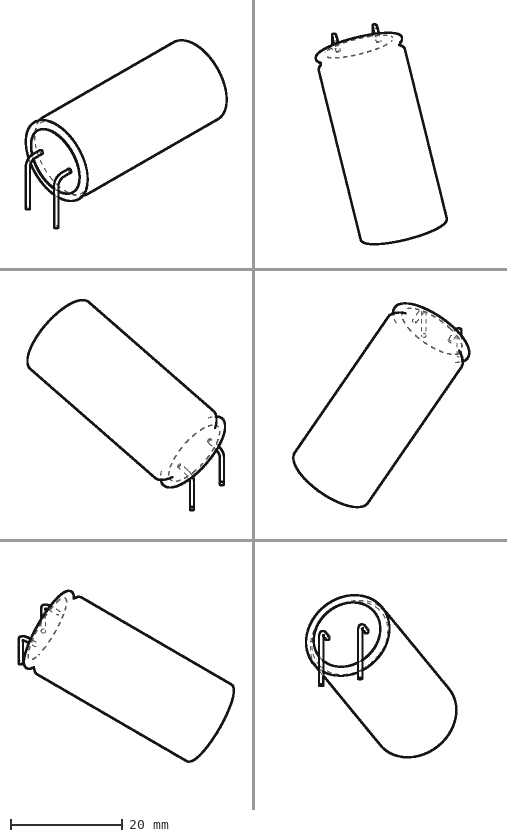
import cadquery as cq
import math

can_diameter = 16.0
can_length = 35.0
edge_radius = 0.4

groove_center = 1.5
groove_floor_diameter = 14.7
groove_half_width = groove_center - edge_radius

plug_diameter = 12.8
plug_recess = 0.1

lead_diameter = 0.8
lead_pitch = 7.5
lead_reach = 3.6
lead_drop = 11.1
lead_bend_radius = 1.6
lead_embedding = 0.5

can_radius = can_diameter / 2
end_face_radius = can_radius - edge_radius
diagonal = math.sqrt(0.5)


def make_can():
    """Revolve the half profile, drawn as (radius, Y), about the Y axis."""
    floor_radius = groove_floor_diameter / 2
    floor_offset = end_face_radius - floor_radius
    arc_radius = (groove_half_width**2 + floor_offset**2 - edge_radius**2) / (2 * (floor_offset + edge_radius))
    arc_center_radius = floor_radius + arc_radius
    slope = math.atan2(groove_half_width, arc_center_radius - end_face_radius)
    tangent_radius = end_face_radius + edge_radius * math.cos(slope)
    tangent_offset = groove_half_width - edge_radius * math.sin(slope)
    shoulder_mid_radius = end_face_radius + edge_radius * math.cos(slope / 2)
    shoulder_mid_offset = groove_half_width - edge_radius * math.sin(slope / 2)
    corner_mid_radius = end_face_radius + edge_radius * diagonal
    corner_mid_inset = edge_radius * (1 - diagonal)

    profile = (
        cq.Workplane("XY")
        .moveTo(0, 0)
        .lineTo(end_face_radius, 0)
        .threePointArc((corner_mid_radius, corner_mid_inset), (can_radius, edge_radius))
        .threePointArc(
            (shoulder_mid_radius, groove_center - shoulder_mid_offset),
            (tangent_radius, groove_center - tangent_offset),
        )
        .threePointArc((floor_radius, groove_center), (tangent_radius, groove_center + tangent_offset))
        .threePointArc(
            (shoulder_mid_radius, groove_center + shoulder_mid_offset),
            (can_radius, groove_center + groove_half_width),
        )
        .lineTo(can_radius, can_length - edge_radius)
        .threePointArc((corner_mid_radius, can_length - corner_mid_inset), (end_face_radius, can_length))
        .lineTo(0, can_length)
        .close()
    )
    return profile.revolve(360, (0, 0, 0), (0, 1, 0))


def make_plug_recess():
    """Shallow round pocket that leaves the plug face below the rim."""
    return cq.Workplane("XZ").circle(plug_diameter / 2).extrude(-plug_recess)


def make_lead(x):
    """Round wire leaving the plug along -Y and bending down to -Z."""
    drop_y = -(lead_reach - lead_diameter / 2)
    bend_start_y = drop_y + lead_bend_radius
    root_y = plug_recess + lead_embedding
    bend_mid_y = bend_start_y - lead_bend_radius * diagonal
    bend_mid_z = -lead_bend_radius * (1 - diagonal)
    path = (
        cq.Workplane("YZ", origin=(x, 0, 0))
        .moveTo(root_y, 0)
        .lineTo(bend_start_y, 0)
        .threePointArc((bend_mid_y, bend_mid_z), (drop_y, -lead_bend_radius))
        .lineTo(drop_y, -lead_drop)
    )
    return cq.Workplane("XZ", origin=(x, root_y, 0)).circle(lead_diameter / 2).sweep(path)


result = make_can().cut(make_plug_recess())
for side in (-1, 1):
    result = result.union(make_lead(side * lead_pitch / 2))